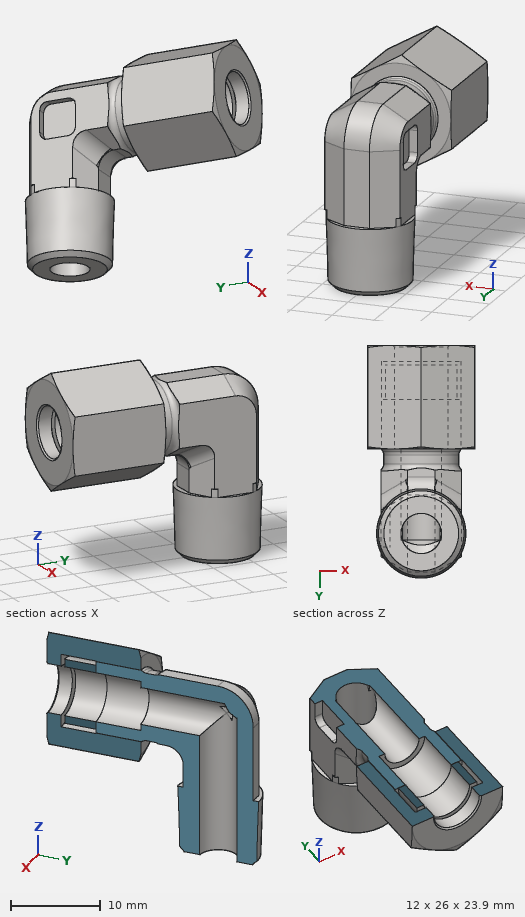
import cadquery as cq
import math


BODY_WIDTH = 9.0
BODY_DEPTH = 8.65
ARM_END = 6.97
INNER_BEND_RADIUS = 2.0

THREAD_TOP_DIAMETER = 10.0
THREAD_TIP_DIAMETER = 9.55
THREAD_LENGTH = 8.01
THREAD_BOTTOM_Z = -17.02
THREAD_CHAMFER = 0.6
CORNER_CUT_HEIGHT = 1.0
THREAD_TOP_Z = THREAD_BOTTOM_Z + THREAD_LENGTH

NECK_DIAMETER = 8.4
NECK_END = 8.77
BODY_NECK_FILLET = 0.78
NECK_CONE_FILLET = 0.78
CONE_ANGLE = math.radians(30)
SPIGOT_DIAMETER = 8.92
SPIGOT_END = 15.0

PASSAGE_DIAMETER = 4.5
PASSAGE_OVERRUN = 0.73
DRILL_TIP_ANGLE = math.radians(118)
TUBE_DIAMETER = 6.0
TUBE_STOP = 9.5

PANEL_SIZE = 4.45
PANEL_CORNER_RADIUS = 0.94
PANEL_DEPTH = 1.0
PANEL_Y = -0.7
PANEL_Z = -0.68

NUT_WIDTH = 12.0
NUT_START = 9.45
NUT_END = 21.02
NUT_CHAMFER_ANGLE = math.radians(15)
NUT_MOUTH_DIAMETER = 6.37
NUT_LIP_LENGTH = 1.8

RING_DIAMETER = 8.0
RING_GAP = 0.42


def turned_on_arm(profile):
    """Revolve a closed (radius, distance) profile about the arm axis."""
    return profile.revolve(360, (0, 0, 0), (0, 1, 0))


def arm_cylinder(diameter, start, end):
    """Cylinder on the arm axis between two distances from the leg axis."""
    return cq.Workplane("XZ", origin=(0, -start, 0)).circle(diameter / 2).extrude(end - start)


def half_section_points():
    """Points of the truncated hexagon on its positive side, from -X to +X."""
    half_width = BODY_WIDTH / 2
    half_depth = BODY_DEPTH / 2
    shoulder = half_width * math.tan(math.pi / 6)
    end_half_width = half_width - (half_depth - shoulder) * math.tan(math.pi / 3)
    return [(-half_width, shoulder), (-end_half_width, half_depth),
            (end_half_width, half_depth), (half_width, shoulder)]


def body_section(workplane):
    """Truncated hexagonal section shared by the leg and the arm."""
    upper = half_section_points()
    lower = [(-x, -y) for x, y in upper]
    return workplane.polyline(upper + lower).close()


def bent_body():
    """Leg and arm joined by a bend of revolution, with a rounded inner corner."""
    leg = body_section(cq.Workplane("XY")).extrude(THREAD_TOP_Z)
    arm = body_section(cq.Workplane("XZ")).extrude(ARM_END)
    half_width = BODY_WIDTH / 2
    bend_profile = [(-half_width, 0), *half_section_points(), (half_width, 0)]
    bend = cq.Workplane("XY").polyline(bend_profile).close().revolve(90, (0, 0, 0), (1, 0, 0))

    crease_far = -BODY_WIDTH / 2
    crease_near = -BODY_WIDTH / 4
    inner_edges = cq.selectors.BoxSelector(
        (-BODY_WIDTH, crease_far, crease_far),
        (BODY_WIDTH, crease_near, crease_near),
        boundingbox=True,
    )
    body = leg.union(arm).edges(inner_edges).fillet(INNER_BEND_RADIUS)
    return body.union(bend)


def corner_cut():
    """Material outside the thread's top diameter, just above the thread."""
    return (
        cq.Workplane("XY", origin=(0, 0, THREAD_TOP_Z))
        .circle(BODY_WIDTH)
        .circle(THREAD_TOP_DIAMETER / 2)
        .extrude(CORNER_CUT_HEIGHT)
    )


def taper_thread():
    """Tapered plug with a chamfered lower end."""
    tip_radius = THREAD_TIP_DIAMETER / 2
    return (
        cq.Workplane("XZ")
        .moveTo(0, THREAD_TOP_Z)
        .lineTo(THREAD_TOP_DIAMETER / 2, THREAD_TOP_Z)
        .lineTo(tip_radius, THREAD_BOTTOM_Z + THREAD_CHAMFER)
        .lineTo(tip_radius - THREAD_CHAMFER, THREAD_BOTTOM_Z)
        .lineTo(0, THREAD_BOTTOM_Z)
        .close()
        .revolve(360, (0, 0, 0), (0, 1, 0))
    )


def neck_and_spigot():
    """Neck that blends into the arm, flares in a cone and carries the spigot."""
    neck_radius = NECK_DIAMETER / 2
    spigot_radius = SPIGOT_DIAMETER / 2
    flare_radius = neck_radius + NECK_CONE_FILLET * (1 - math.cos(CONE_ANGLE))
    flare_start = NECK_END + NECK_CONE_FILLET * math.sin(CONE_ANGLE)
    half_angle = CONE_ANGLE / 2
    flare_middle = (
        neck_radius + NECK_CONE_FILLET * (1 - math.cos(half_angle)),
        -NECK_END - NECK_CONE_FILLET * math.sin(half_angle),
    )
    cone_end = flare_start + (spigot_radius - flare_radius) / math.tan(CONE_ANGLE)
    blend_end = ARM_END + BODY_NECK_FILLET
    blend_offset = BODY_NECK_FILLET * (1 - math.sqrt(0.5))
    profile = (
        cq.Workplane("XY")
        .moveTo(0, -ARM_END)
        .lineTo(neck_radius + BODY_NECK_FILLET, -ARM_END)
        .threePointArc((neck_radius + blend_offset, -ARM_END - blend_offset), (neck_radius, -blend_end))
        .lineTo(neck_radius, -NECK_END)
        .threePointArc(flare_middle, (flare_radius, -flare_start))
        .lineTo(spigot_radius, -cone_end)
        .lineTo(spigot_radius, -SPIGOT_END)
        .lineTo(0, -SPIGOT_END)
        .close()
    )
    envelope = body_section(cq.Workplane("XZ", origin=(0, -ARM_END, 0))).extrude(blend_end - ARM_END)
    envelope = envelope.union(arm_cylinder(BODY_WIDTH, blend_end, SPIGOT_END))
    return turned_on_arm(profile).intersect(envelope)


def drilled_passage(mouth_distance):
    """Blind drilled hole along -Y from the mouth, ending in a conical tip past the origin."""
    radius = PASSAGE_DIAMETER / 2
    tip = PASSAGE_OVERRUN + radius / math.tan(DRILL_TIP_ANGLE / 2)
    profile = (
        cq.Workplane("XY")
        .moveTo(0, -mouth_distance)
        .lineTo(radius, -mouth_distance)
        .lineTo(radius, PASSAGE_OVERRUN)
        .lineTo(0, tip)
        .close()
    )
    return turned_on_arm(profile)


def panel_recess():
    """Rounded square recess in the -X flat."""
    return (
        cq.Workplane("YZ", origin=(-BODY_WIDTH / 2, PANEL_Y, PANEL_Z))
        .rect(PANEL_SIZE, PANEL_SIZE)
        .extrude(PANEL_DEPTH)
        .edges("|X")
        .fillet(PANEL_CORNER_RADIUS)
    )


def make_elbow():
    arm_passage = drilled_passage(SPIGOT_END)
    leg_passage = drilled_passage(-THREAD_BOTTOM_Z).rotate((0, 0, 0), (1, 0, 0), 90)
    return (
        bent_body()
        .cut(corner_cut())
        .union(taper_thread())
        .union(neck_and_spigot())
        .cut(arm_passage)
        .cut(leg_passage)
        .cut(arm_cylinder(TUBE_DIAMETER, TUBE_STOP, SPIGOT_END))
        .cut(panel_recess())
    )


def make_nut():
    """Hexagon nut chamfered at both ends, bored to fit the spigot, with a lip around the tube."""
    face_radius = NUT_WIDTH / 2
    corner_radius = face_radius / math.cos(math.pi / 6)
    chamfer_length = (corner_radius - face_radius) * math.tan(NUT_CHAMFER_ANGLE)
    hexagon = (
        cq.Workplane("XZ", origin=(0, -NUT_START, 0))
        .transformed(rotate=(0, 0, 90))
        .polygon(6, 2 * corner_radius)
    )
    chamfer_profile = cq.Workplane("XY").polyline([
        (0, -NUT_START),
        (face_radius, -NUT_START),
        (corner_radius, -NUT_START - chamfer_length),
        (corner_radius, -NUT_END + chamfer_length),
        (face_radius, -NUT_END),
        (0, -NUT_END),
    ]).close()
    blank = hexagon.extrude(NUT_END - NUT_START).intersect(turned_on_arm(chamfer_profile))

    tube_radius = TUBE_DIAMETER / 2
    mouth_radius = NUT_MOUTH_DIAMETER / 2
    bore_radius = SPIGOT_DIAMETER / 2
    lip_start = NUT_END - NUT_LIP_LENGTH
    bore_profile = cq.Workplane("XY").polyline([
        (0, -NUT_START),
        (bore_radius, -NUT_START),
        (bore_radius, -lip_start),
        (tube_radius, -lip_start),
        (tube_radius, -NUT_END + mouth_radius - tube_radius),
        (mouth_radius, -NUT_END),
        (0, -NUT_END),
    ]).close()
    return blank.cut(turned_on_arm(bore_profile))


def make_cutting_ring():
    """Plain ring around the tube, seated on the end of the spigot."""
    ring_end = NUT_END - NUT_LIP_LENGTH - RING_GAP
    outside = arm_cylinder(RING_DIAMETER, SPIGOT_END, ring_end)
    return outside.cut(arm_cylinder(TUBE_DIAMETER, SPIGOT_END, ring_end))


elbow = make_elbow()
nut = make_nut()
cutting_ring = make_cutting_ring()

result = cq.Compound.makeCompound([elbow.val(), nut.val(), cutting_ring.val()])